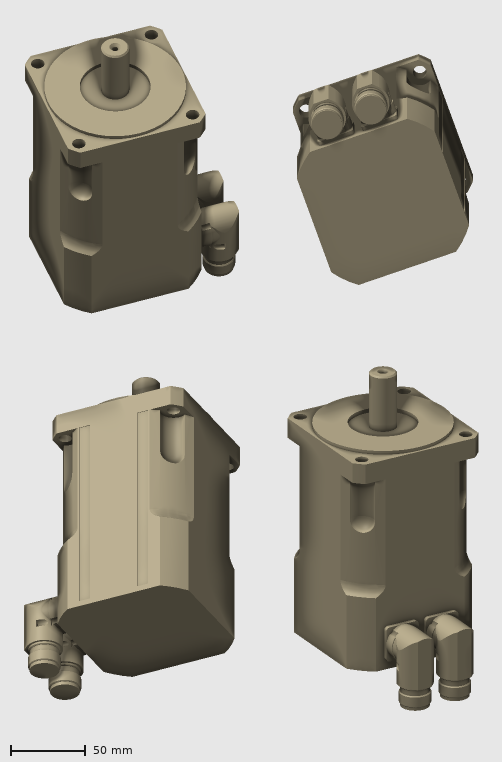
import cadquery as cq
import math

HOUSING_SIDE = 98.0
HOUSING_TOP = 139.8
LOWER_CORNER_DIAMETER = 120.0
UPPER_CORNER_DIAMETER = 111.8
CORNER_FILLET_RADIUS = 10.0
CORNER_FILLET_TOP = 62.1

FLANGE_THICKNESS = 14.5
FLANGE_TOP = HOUSING_TOP + FLANGE_THICKNESS
FLANGE_CORNER_DIAMETER = 129.9
BOLT_SPACING = 81.0
BOLT_HOLE_DIAMETER = 9.0
SPIGOT_DIAMETER = 95.0
SPIGOT_HEIGHT = 2.5
SPIGOT_TOP = FLANGE_TOP + SPIGOT_HEIGHT
SPIGOT_RECESS_DIAMETER = 47.5
SPIGOT_RECESS_DEPTH = 3.0

BOLT_POCKET_DIAMETER = 18.0
BOLT_POCKET_BOTTOM = 108.5

GROOVE_WIDTH = 8.0
GROOVE_SPACING = 43.6
GROOVE_BOTTOM = 3.9
GROOVE_DEPTH = 0.5

SHAFT_DIAMETER = 19.0
SHAFT_TOP = 194.0
SHAFT_CHAMFER = 1.0
CENTRE_HOLE_DIAMETER = 4.0
CENTRE_HOLE_DEPTH = 8.5
COUNTERSINK_DIAMETER = 7.7
COUNTERSINK_ANGLE = 90.0

CONNECTOR_SPACING = 31.0
CONNECTOR_HEIGHT = 19.1
CONNECTOR_WIDTH = 25.2
CONNECTOR_RADIUS = CONNECTOR_WIDTH / 2
MOUNT_Y = HOUSING_SIDE / 2
ELBOW_Y = 68.4
ELBOW_BOTTOM = -4.5
CROWN_RADIUS = 13.0
CROWN_REACH = 15.3
PLATE_THICKNESS = 3.0
PLATE_CORNER_RADIUS = 2.5
PLATE_FACE_Y = MOUNT_Y + PLATE_THICKNESS
BLOCK_LENGTH = 7.0
BARREL_RADIUS = 12.0
SCREW_OFFSET = CONNECTOR_RADIUS - PLATE_CORNER_RADIUS
SCREW_POCKET_RADIUS = PLATE_CORNER_RADIUS

PLUG_BOTTOM = -21.0
PLUG_DIAMETER = 20.0
COLLAR_DIAMETER = 22.0
SHOULDER_BOTTOM = -6.5
COLLAR_TOP = -10.3
COLLAR_BOTTOM = -18.7
PLUG_CHAMFER = 0.6


def cylinder(diameter, bottom, top):
    return cq.Workplane("XY").workplane(offset=bottom).circle(diameter / 2).extrude(top - bottom)


def cylinder_along_y(radius, start, end, x=0.0, z=CONNECTOR_HEIGHT):
    return cq.Workplane("XZ", origin=(x, start, z)).circle(radius).extrude(start - end)


def square_block(bottom, top):
    return (
        cq.Workplane("XY").workplane(offset=bottom)
        .rect(HOUSING_SIDE, HOUSING_SIDE).extrude(top - bottom)
    )


def housing_block():
    lower_radius = LOWER_CORNER_DIAMETER / 2
    upper_radius = UPPER_CORNER_DIAMETER / 2
    arc_centre_radius = upper_radius + CORNER_FILLET_RADIUS
    arc_sweep = math.acos((arc_centre_radius - lower_radius) / CORNER_FILLET_RADIUS)

    def arc_point(angle):
        return (
            arc_centre_radius - CORNER_FILLET_RADIUS * math.cos(angle),
            CORNER_FILLET_TOP - CORNER_FILLET_RADIUS * math.sin(angle),
        )

    turned = (
        cq.Workplane("XZ")
        .lineTo(lower_radius, 0)
        .lineTo(*arc_point(arc_sweep))
        .threePointArc(arc_point(arc_sweep / 2), arc_point(0))
        .lineTo(upper_radius, HOUSING_TOP)
        .lineTo(0, HOUSING_TOP)
        .close()
        .revolve(360, (0, 0), (0, 1))
    )
    return square_block(0, HOUSING_TOP).intersect(turned)


def flange():
    corners = cylinder(FLANGE_CORNER_DIAMETER, HOUSING_TOP, FLANGE_TOP)
    plate = square_block(HOUSING_TOP, FLANGE_TOP).intersect(corners)
    spigot = cylinder(SPIGOT_DIAMETER, FLANGE_TOP, SPIGOT_TOP)
    recess = cylinder(SPIGOT_RECESS_DIAMETER, SPIGOT_TOP - SPIGOT_RECESS_DEPTH, SPIGOT_TOP)
    return plate.union(spigot).cut(recess)


def bolt_cutter(x, y):
    hole = cylinder(BOLT_HOLE_DIAMETER, HOUSING_TOP, FLANGE_TOP)
    pocket = cylinder(BOLT_POCKET_DIAMETER, BOLT_POCKET_BOTTOM, HOUSING_TOP)
    ball_end = cq.Workplane("XY").sphere(BOLT_POCKET_DIAMETER / 2).translate((0, 0, BOLT_POCKET_BOTTOM))
    return hole.union(pocket).union(ball_end).translate((x, y, 0))


def groove_cutter(y):
    height = HOUSING_TOP - GROOVE_BOTTOM
    return cq.Workplane("XY").box(2 * GROOVE_DEPTH, GROOVE_WIDTH, height).translate(
        (-HOUSING_SIDE / 2, y, GROOVE_BOTTOM + height / 2)
    )


def shaft():
    bottom = SPIGOT_TOP - SPIGOT_RECESS_DEPTH
    return (
        cylinder(SHAFT_DIAMETER, bottom, SHAFT_TOP)
        .faces(">Z").chamfer(SHAFT_CHAMFER)
        .faces(">Z").workplane()
        .cskHole(CENTRE_HOLE_DIAMETER, COUNTERSINK_DIAMETER, COUNTERSINK_ANGLE, CENTRE_HOLE_DEPTH)
    )


def build_motor():
    motor = housing_block().union(flange())
    for x in (-BOLT_SPACING / 2, BOLT_SPACING / 2):
        for y in (-BOLT_SPACING / 2, BOLT_SPACING / 2):
            motor = motor.cut(bolt_cutter(x, y))
    for y in (-GROOVE_SPACING / 2, GROOVE_SPACING / 2):
        motor = motor.cut(groove_cutter(y))
    return motor.union(shaft())


def elbow_column():
    diagonal = CONNECTOR_RADIUS / math.sqrt(2)
    flat_half_width = CONNECTOR_RADIUS * math.tan(math.pi / 8)
    return (
        cq.Workplane("XY", origin=(0, ELBOW_Y, ELBOW_BOTTOM))
        .moveTo(flat_half_width, CONNECTOR_RADIUS)
        .lineTo(diagonal, diagonal)
        .threePointArc((0, -CONNECTOR_RADIUS), (-diagonal, diagonal))
        .lineTo(-flat_half_width, CONNECTOR_RADIUS)
        .close()
        .extrude(CONNECTOR_HEIGHT + CROWN_RADIUS - ELBOW_BOTTOM)
    )


def elbow():
    crown = cylinder_along_y(CROWN_RADIUS, ELBOW_Y - CROWN_REACH, ELBOW_Y + CONNECTOR_RADIUS)
    below_crown = (
        cq.Workplane("XY", origin=(0, ELBOW_Y, ELBOW_BOTTOM))
        .rect(2 * CONNECTOR_WIDTH, 2 * CONNECTOR_WIDTH).extrude(CONNECTOR_HEIGHT - ELBOW_BOTTOM)
    )
    column = elbow_column().intersect(below_crown.union(crown))
    crown_edge = math.sqrt(CROWN_RADIUS ** 2 - CONNECTOR_RADIUS ** 2)
    wedge = (
        cq.Workplane("YZ", origin=(-CONNECTOR_RADIUS, ELBOW_Y, CONNECTOR_HEIGHT))
        .moveTo(0, crown_edge)
        .lineTo(0, CROWN_RADIUS)
        .lineTo(-CROWN_REACH, CROWN_RADIUS)
        .close()
        .extrude(CONNECTOR_WIDTH)
    )
    return column.union(crown.intersect(wedge))


def mount():
    plate = (
        cq.Workplane("XZ", origin=(0, MOUNT_Y, CONNECTOR_HEIGHT))
        .rect(CONNECTOR_WIDTH, CONNECTOR_WIDTH).extrude(-PLATE_THICKNESS)
        .edges("|Y").fillet(PLATE_CORNER_RADIUS)
    )
    block = cylinder_along_y(CONNECTOR_RADIUS, PLATE_FACE_Y, PLATE_FACE_Y + BLOCK_LENGTH)
    barrel = cylinder_along_y(BARREL_RADIUS, PLATE_FACE_Y, ELBOW_Y)
    return plate.union(block).union(barrel)


def plug():
    shoulder = cylinder(COLLAR_DIAMETER, SHOULDER_BOTTOM, ELBOW_BOTTOM).faces("<Z").chamfer(PLUG_CHAMFER)
    stem = cylinder(PLUG_DIAMETER, PLUG_BOTTOM, ELBOW_BOTTOM)
    collar = cylinder(COLLAR_DIAMETER, COLLAR_BOTTOM, COLLAR_TOP).faces("<Z or >Z").chamfer(PLUG_CHAMFER)
    return stem.union(shoulder).union(collar).translate((0, ELBOW_Y, 0))


def screw_pocket(x, z):
    return cylinder_along_y(SCREW_POCKET_RADIUS, PLATE_FACE_Y, PLATE_FACE_Y + BLOCK_LENGTH, x, z)


def side_notch(x):
    return cylinder_along_y(
        SCREW_POCKET_RADIUS, ELBOW_Y - CONNECTOR_RADIUS, ELBOW_Y, x, CONNECTOR_HEIGHT - SCREW_OFFSET
    )


def build_connector(x):
    connector = elbow().union(mount()).union(plug())
    for side in (-1, 1):
        for level in (-1, 1):
            connector = connector.cut(
                screw_pocket(side * SCREW_OFFSET, CONNECTOR_HEIGHT + level * SCREW_OFFSET)
            )
        connector = connector.cut(side_notch(side * CONNECTOR_RADIUS))
    return connector.translate((x, 0, 0))


motor = build_motor()
connectors = [build_connector(x) for x in (-CONNECTOR_SPACING / 2, CONNECTOR_SPACING / 2)]

result = cq.Compound.makeCompound([motor.val(), *[connector.val() for connector in connectors]])